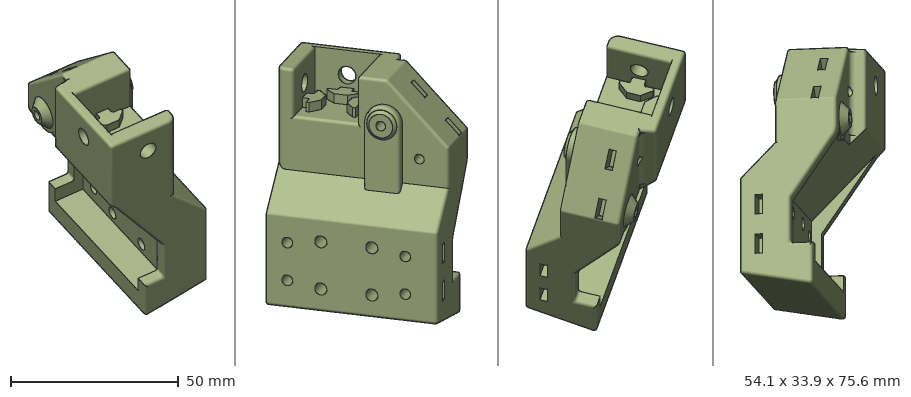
import cadquery as cq
import math

WIDTH = 54.1
DEPTH = 33.9
HEIGHT = 75.55
EDGE = 1.0
CLEAR = 0.75
NEAR = 0.001

LIP_FRONT_Y = 11.95
LIP_TOP_Z = 12.6
RIM_FRONT_Y = 18.7
RIM_TOP_Z = 25.5
LEFT_RIM_TOP_Z = 26.15
UPPER_BACK_Y = 23.3
UPPER_BACK_Z = 43.45
BOTTOM_RISE = 4.0
NOSE_Z = 51.15
NOSE_RUN = 2.3
BOTTOM_ANGLE = math.atan2(BOTTOM_RISE, DEPTH - LIP_FRONT_Y)
BOTTOM_FRONT_Z = -EDGE * (math.tan(BOTTOM_ANGLE) + 1 / math.cos(BOTTOM_ANGLE) - 1)
BOTTOM_BACK_Z = BOTTOM_FRONT_Z + BOTTOM_RISE
LOWER_BACK_Z = UPPER_BACK_Z - (DEPTH - UPPER_BACK_Y)

CORNER = 19.35
CORNER_ANGLE = 45
PLATE_Y = 4.7
STEP_X = 22.7
STEP_LEAN = 1.0
STEP_INNER_X = STEP_X - STEP_LEAN
STEP_ROUND = 1.9
STEP_FILLET_BOTTOM_Z = 49.1
PLATE_ROUND = 5.3
BACK_CORNER_ROUND = 3.0

POCKET_LEFT = 4.2
POCKET_RIGHT = 50.2
POCKET_FLOOR_Z = 7.55
POCKET_BACK_Y = 21.7

HOLE_MID_X = 28.6
HOLE_MID_Z = 18.35
OUTER_HOLES = (3.3, 37.0, 12.0)
INNER_HOLES = (3.8, 16.0, 15.0)

SOCKET_SIZE = 20.0
SOCKET_LEFT = 28.6
SOCKET_FRONT_Y = 2.95
SOCKET_FLOOR_Z = 60.6
SOCKET_MID_X = SOCKET_LEFT + SOCKET_SIZE / 2
SOCKET_MID_Y = SOCKET_FRONT_Y + SOCKET_SIZE / 2
BOLT_D = 5.5
BOLT_Z = 67.6

KEY_HEIGHT = 3.0
KEY_NECK_HALF = 2.1
KEY_NECK_LENGTH = 2.3
KEY_HEAD_HALF = 5.3
KEY_TIP = 0.9
KEY_LENGTH = 6.0
KEY_END_HALF = 2.1
KEY_ROUND = 0.75

SCREW_D = 3.0
CONE_X = 9.2
CONE_Z = 51.7
CONE_BASE_D = 10.2
CONE_TIP_D = 5.4
CONE_HEIGHT = (CONE_BASE_D - CONE_TIP_D) / 2
COLLAR_D = 13.0

TAB_X = 20.2
TAB_Z = 62.2
TAB_WIDTH = 11.3
TAB_HEIGHT = 2.6
BOSS_TOP_D = 7.5
BOSS_HEIGHT = 1.0
BOSS_BASE_D = BOSS_TOP_D + 2 * BOSS_HEIGHT

TIE_WIDTH = 2.3
TIE_DEPTH = 6.4
SIDE_TIE_Y = 28.25
SIDE_TIE_LENGTH = 5.9
SIDE_TIE_Z = (12.6, 24.6)
CORNER_TIE_Y = 11.3
CORNER_TIE_LENGTH = 6.05
CORNER_TIE_X = (2.4, 13.15)


def prism_x(points, x_start, x_end):
    """Extrude a YZ outline along X."""
    outline = cq.Workplane("YZ").workplane(offset=x_start).polyline(points).close()
    return outline.extrude(x_end - x_start)


def frustum_y(x, z, base_y, base_d, tip_d, height, direction):
    """Cone frustum along Y that narrows away from its base."""
    plane = cq.Plane(origin=(x, base_y, z), xDir=(1, 0, 0), normal=(0, direction, 0))
    blank = cq.Workplane(plane).circle(base_d / 2).workplane(offset=height)
    return blank.circle(tip_d / 2).loft(combine=True)


def hole_y(x, z, diameter):
    """Drill along the whole depth."""
    plane = cq.Plane(origin=(x, -CLEAR, z), xDir=(1, 0, 0), normal=(0, 1, 0))
    return cq.Workplane(plane).circle(diameter / 2).extrude(DEPTH + 2 * CLEAR)


def pick_edges(solid, belongs):
    """Select the edges whose centre point passes a test."""
    return solid.newObject([edge for edge in solid.edges().vals() if belongs(edge.Center())])


def make_step():
    """Space in front of the recessed plate."""
    outline = [
        (-CLEAR, -CLEAR),
        (STEP_X, -CLEAR),
        (STEP_X, 0),
        (STEP_INNER_X, PLATE_Y),
        (-CLEAR, PLATE_Y),
    ]
    return cq.Workplane("XY").polyline(outline).close().extrude(HEIGHT + CLEAR)


def make_step_fillet():
    """Vertical round between the plate and the side of the protruding block."""
    lean = math.atan2(STEP_LEAN, PLATE_Y)
    tangent = STEP_ROUND * math.tan((math.pi / 2 - lean) / 2)
    center_x = STEP_INNER_X - tangent
    center_y = PLATE_Y - STEP_ROUND

    def on_arc(angle):
        return center_x + STEP_ROUND * math.cos(angle), center_y + STEP_ROUND * math.sin(angle)

    outline = (
        cq.Workplane("XY", origin=(0, 0, STEP_FILLET_BOTTOM_Z))
        .moveTo(center_x, PLATE_Y)
        .threePointArc(on_arc((math.pi / 2 + lean) / 2), on_arc(lean))
        .lineTo(STEP_INNER_X + STEP_LEAN / 2, PLATE_Y + EDGE)
        .lineTo(center_x, PLATE_Y + EDGE)
        .close()
    )
    return outline.extrude(HEIGHT - EDGE - STEP_FILLET_BOTTOM_Z)


def make_left_relief():
    """Strip below the left rim slope and below the arc that blends it into the plate."""
    run = RIM_FRONT_Y - NOSE_RUN
    drop = NOSE_Z - NOSE_RUN - RIM_TOP_Z
    turn = math.atan2(run, drop)
    edge_z = LEFT_RIM_TOP_Z + (RIM_FRONT_Y - PLATE_Y) * drop / run
    center_y = PLATE_Y + PLATE_ROUND
    center_z = edge_z + PLATE_ROUND * math.tan(turn / 2)

    def on_arc(angle):
        return center_y - PLATE_ROUND * math.cos(angle), center_z - PLATE_ROUND * math.sin(angle)

    outline = (
        cq.Workplane("YZ", origin=(-CLEAR, 0, 0))
        .moveTo(PLATE_Y, center_z)
        .threePointArc(on_arc(turn / 2), on_arc(turn))
        .lineTo(RIM_FRONT_Y, LEFT_RIM_TOP_Z)
        .lineTo(RIM_FRONT_Y, RIM_TOP_Z)
        .lineTo(PLATE_Y, edge_z - LEFT_RIM_TOP_Z + RIM_TOP_Z)
        .close()
    )
    return outline.extrude(STEP_INNER_X + CLEAR)


def make_body():
    """Outer shape with its rounded edges."""
    profile = [
        (0, HEIGHT),
        (0, NOSE_Z),
        (NOSE_RUN, NOSE_Z - NOSE_RUN),
        (RIM_FRONT_Y, RIM_TOP_Z),
        (RIM_FRONT_Y, LIP_TOP_Z),
        (LIP_FRONT_Y, LIP_TOP_Z),
        (LIP_FRONT_Y, BOTTOM_FRONT_Z),
        (DEPTH, BOTTOM_BACK_Z),
        (DEPTH, LOWER_BACK_Z),
        (UPPER_BACK_Y, UPPER_BACK_Z),
        (UPPER_BACK_Y, HEIGHT),
    ]
    corner = (
        cq.Workplane("XZ", origin=(0, -CLEAR, 0))
        .polyline([(0, HEIGHT - CORNER), (CORNER, HEIGHT), (0, HEIGHT)])
        .close()
        .extrude(-DEPTH - 2 * CLEAR)
    )
    body = prism_x(profile, 0, WIDTH).cut(corner).cut(make_step()).cut(make_left_relief())

    back_corner_middle = (WIDTH, UPPER_BACK_Y, (UPPER_BACK_Z + HEIGHT) / 2)
    back_corner = cq.selectors.NearestToPointSelector(back_corner_middle)
    body = body.edges(back_corner).fillet(BACK_CORNER_ROUND).cut(make_socket())

    def at(value, *places):
        return any(abs(value - place) < NEAR for place in places)

    def is_rounded(point):
        on_side = at(point.x, 0, WIDTH)
        on_corner = at(point.z - point.x, HEIGHT - CORNER)
        on_top = at(point.z, HEIGHT) and not at(point.y, SOCKET_FRONT_Y)
        on_step = at(point.x, STEP_X) and at(point.y, 0)
        on_nose = at(point.y, 0) and at(point.z, NOSE_Z)
        on_bottom = at(point.y, LIP_FRONT_Y, DEPTH) and at(point.z, BOTTOM_FRONT_Z, BOTTOM_BACK_Z)
        on_back = at(point.y, DEPTH) and at(point.z, LOWER_BACK_Z)
        on_rim = at(point.y, RIM_FRONT_Y) and at(point.z, RIM_TOP_Z, LEFT_RIM_TOP_Z)
        on_socket = at(point.y, UPPER_BACK_Y) and (
            at(point.z, SOCKET_FLOOR_Z) or at(point.x, SOCKET_LEFT, SOCKET_LEFT + SOCKET_SIZE)
        )
        return (
            on_side or on_corner or on_top or on_step or on_nose
            or on_bottom or on_back or on_rim or on_socket
        )

    def is_lip_root(point):
        return at(point.y, RIM_FRONT_Y) and at(point.z, LIP_TOP_Z)

    body = pick_edges(body, is_rounded).fillet(EDGE)
    return pick_edges(body, is_lip_root).fillet(EDGE)


def make_pocket():
    """Front pocket under a 45 degree ceiling."""
    outline = [
        (-CLEAR, POCKET_FLOOR_Z),
        (POCKET_BACK_Y, POCKET_FLOOR_Z),
        (POCKET_BACK_Y, NOSE_Z - POCKET_BACK_Y),
        (-CLEAR, NOSE_Z + CLEAR),
    ]
    return prism_x(outline, POCKET_LEFT, POCKET_RIGHT)


def make_collar():
    """Ring around the cone screw that reaches down through the pocket ceiling."""
    plane = cq.Plane(origin=(CONE_X, PLATE_Y, CONE_Z), xDir=(1, 0, 0), normal=(0, 1, 0))
    return cq.Workplane(plane).circle(COLLAR_D / 2).extrude(UPPER_BACK_Y - PLATE_Y - EDGE)


def make_tab():
    """Round-topped tab on the back, running down into the sloped back face."""
    half = TAB_WIDTH / 2
    tab = (
        cq.Workplane("XZ", origin=(0, UPPER_BACK_Y - EDGE, 0))
        .moveTo(TAB_X - half, LOWER_BACK_Z)
        .lineTo(TAB_X - half, TAB_Z)
        .threePointArc((TAB_X, TAB_Z + half), (TAB_X + half, TAB_Z))
        .lineTo(TAB_X + half, LOWER_BACK_Z)
        .close()
        .extrude(-TAB_HEIGHT - EDGE)
    )
    tab = tab.faces(">Y").edges("not <Z").fillet(EDGE)
    below_slope = [
        (0, UPPER_BACK_Z + UPPER_BACK_Y - EDGE),
        (0, 0),
        (DEPTH, 0),
        (DEPTH, LOWER_BACK_Z - EDGE),
    ]
    return tab.cut(prism_x(below_slope, 0, WIDTH))


def make_socket():
    """Square socket, open to the top and the back."""
    space = cq.Workplane("XY").box(SOCKET_SIZE, DEPTH, HEIGHT, centered=False)
    return space.translate((SOCKET_LEFT, SOCKET_FRONT_Y, SOCKET_FLOOR_Z))


def make_key(angle):
    """Slot key reaching from a socket wall towards the middle; angle turns it about Z."""
    half = [
        (0, KEY_NECK_HALF),
        (KEY_NECK_LENGTH, KEY_NECK_HALF),
        (KEY_NECK_LENGTH, KEY_HEAD_HALF),
        (KEY_NECK_LENGTH + KEY_TIP, KEY_HEAD_HALF),
        (KEY_LENGTH, KEY_END_HALF),
    ]
    outline = half + [(x, -y) for x, y in reversed(half)]
    key = cq.Workplane("XY").polyline(outline).close().extrude(KEY_HEIGHT)
    for side_y in (-KEY_NECK_HALF, KEY_NECK_HALF):
        inner_corner = cq.selectors.NearestToPointSelector((KEY_NECK_LENGTH, side_y, KEY_HEIGHT / 2))
        key = key.edges(inner_corner).fillet(KEY_ROUND)
    key = key.translate((-SOCKET_SIZE / 2, 0, SOCKET_FLOOR_Z))
    return key.rotate((0, 0, 0), (0, 0, 1), angle).translate((SOCKET_MID_X, SOCKET_MID_Y, 0))


def make_side_tie_slot(z):
    """Blind cable tie slot in the left side."""
    blank = cq.Workplane("XY").box(2 * TIE_DEPTH, TIE_WIDTH, SIDE_TIE_LENGTH)
    return blank.translate((0, SIDE_TIE_Y, z))


def make_corner_tie_slot(x):
    """Blind cable tie slot square to the cut-away corner."""
    blank = cq.Workplane("XY").box(2 * TIE_DEPTH, TIE_WIDTH, CORNER_TIE_LENGTH)
    blank = blank.rotate((0, 0, 0), (0, 1, 0), CORNER_ANGLE)
    return blank.translate((x, CORNER_TIE_Y, HEIGHT - CORNER + x))


result = make_body().cut(make_pocket()).union(make_step_fillet())
result = result.union(make_collar())
for angle in (0, 90, 180):
    result = result.union(make_key(angle))

result = result.union(make_tab())
cone = frustum_y(CONE_X, CONE_Z, PLATE_Y, CONE_BASE_D, CONE_TIP_D, CONE_HEIGHT, -1)
boss = frustum_y(TAB_X, TAB_Z, UPPER_BACK_Y + TAB_HEIGHT, BOSS_BASE_D, BOSS_TOP_D, BOSS_HEIGHT, 1)
result = result.union(cone).union(boss)

result = result.cut(hole_y(CONE_X, CONE_Z, SCREW_D)).cut(hole_y(TAB_X, TAB_Z, SCREW_D))
for diameter, pitch_x, pitch_z in (OUTER_HOLES, INNER_HOLES):
    for side_x in (-0.5, 0.5):
        for side_z in (-0.5, 0.5):
            hole_x = HOLE_MID_X + side_x * pitch_x
            hole_z = HOLE_MID_Z + side_z * pitch_z
            result = result.cut(hole_y(hole_x, hole_z, diameter))

result = result.cut(hole_y(SOCKET_MID_X, BOLT_Z, BOLT_D))
side_bolt = cq.Workplane("YZ", origin=(SOCKET_MID_X, 0, 0)).center(SOCKET_MID_Y, BOLT_Z)
result = result.cut(side_bolt.circle(BOLT_D / 2).extrude(WIDTH))

for z in SIDE_TIE_Z:
    result = result.cut(make_side_tie_slot(z))
for x in CORNER_TIE_X:
    result = result.cut(make_corner_tie_slot(x))